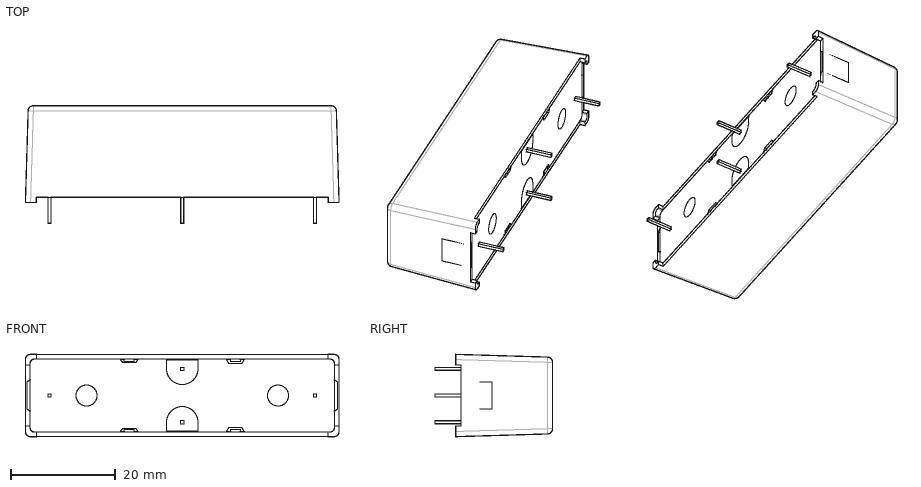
import cadquery as cq
import math


LENGTH = 60.0
WIDTH = 15.8
DEPTH = 17.5
DRAFT_ANGLE = 1.7
WALL = 0.9
EDGE_RADIUS = 1.0
CAVITY_RADIUS = 0.85
FOOT_HEIGHT = 1.0
FOOT_SPAN = 2.1

POCKET_DEPTH = 5.95
POCKET_SKIN = 0.33
POCKET_OUTER_WIDTH = 5.2
POCKET_INNER_WIDTH = 6.0

SNAP_X = 10.15
BUMP_WIDTH = 1.9
BUMP_HEIGHT = 0.5
BUMP_DEPTH = 0.25
NOTCH_INNER_WIDTH = 2.5
NOTCH_OUTER_WIDTH = 3.5
NOTCH_DEPTH = 1.5
LEFT_NOTCH_HEIGHT = 0.65
RIGHT_NOTCH_HEIGHT = 0.85

PIN_SIZE = 0.6
PIN_LENGTH = 5.0
END_PIN_X = 25.4
SIDE_PIN_Z = 5.1

INLAY_THICKNESS = 1.0
PAD_RADIUS = 3.0
PAD_OUTER_Z = 6.8
DISC_DIAMETER = 4.0
DISC_X = 18.3

PIN_PLACES = [(-END_PIN_X, 0), (END_PIN_X, 0), (0, -SIDE_PIN_Z), (0, SIDE_PIN_Z)]
SIDES = (-1, 1)

cavity_half_length = LENGTH / 2 - WALL
cavity_half_width = WIDTH / 2 - WALL
draft_slope = math.tan(math.radians(DRAFT_ANGLE))
rim_half_width = cavity_half_width - FOOT_HEIGHT * draft_slope


def plan_sketch(y):
    """Workplane at depth y, sketched in (x, z); negative extrusions run toward +Y."""
    return cq.Workplane("XZ", origin=(0, y, 0))


def drafted_block(inset, corner_radius):
    """Drafted block from the foot tips toward the back, inset from the outer skin all round."""
    return (
        cq.Workplane("ZX", origin=(0, -FOOT_HEIGHT, 0))
        .rect(WIDTH - 2 * inset, LENGTH - 2 * inset)
        .extrude(FOOT_HEIGHT + DEPTH - inset, taper=DRAFT_ANGLE)
        .edges("not(#Y)")
        .fillet(corner_radius)
    )


def make_cavity():
    return drafted_block(WALL, CAVITY_RADIUS)


def rim_gaps():
    """Space between the corner feet, down to the rim."""
    along_x = cq.Workplane().box(LENGTH - 2 * FOOT_SPAN, FOOT_HEIGHT, WIDTH)
    along_z = cq.Workplane().box(LENGTH, FOOT_HEIGHT, WIDTH - 2 * FOOT_SPAN)
    return along_x.union(along_z).translate((0, -FOOT_HEIGHT / 2, 0))


def end_pocket(side):
    """Pocket in one end wall, slightly wider at its inner face."""
    outer_x = side * (LENGTH / 2 - POCKET_SKIN)
    inner_x = side * (cavity_half_length - WALL)
    mouth_x = side * cavity_half_length
    return (
        plan_sketch(0)
        .moveTo(outer_x, -POCKET_OUTER_WIDTH / 2)
        .lineTo(mouth_x, -POCKET_INNER_WIDTH / 2)
        .lineTo(inner_x, -POCKET_INNER_WIDTH / 2)
        .lineTo(inner_x, POCKET_INNER_WIDTH / 2)
        .lineTo(mouth_x, POCKET_INNER_WIDTH / 2)
        .lineTo(outer_x, POCKET_OUTER_WIDTH / 2)
        .close()
        .extrude(-POCKET_DEPTH)
    )


def snap_bump(x, side):
    """Wedge on a long wall, sloping inward from the rim and rooted in the wall."""
    wall_z = side * rim_half_width
    root_z = side * (rim_half_width + WALL / 2)
    return (
        cq.Workplane("YZ", origin=(x, 0, 0))
        .polyline([
            (0, root_z),
            (0, wall_z),
            (BUMP_DEPTH, wall_z - side * BUMP_HEIGHT),
            (BUMP_DEPTH, root_z),
        ])
        .close()
        .extrude(BUMP_WIDTH / 2, both=True)
    )


def snap_notch(x, side, height):
    """Trapezoid notch in the edge of the filling, around a snap bump."""
    wall_z = side * rim_half_width
    floor_z = wall_z - side * height
    return (
        plan_sketch(0)
        .polyline([
            (x - NOTCH_OUTER_WIDTH / 2, wall_z),
            (x - NOTCH_INNER_WIDTH / 2, floor_z),
            (x + NOTCH_INNER_WIDTH / 2, floor_z),
            (x + NOTCH_OUTER_WIDTH / 2, wall_z),
        ])
        .close()
        .extrude(-NOTCH_DEPTH)
    )


def make_housing():
    shell = drafted_block(0, EDGE_RADIUS).faces(">Y").edges().fillet(EDGE_RADIUS)
    shell = shell.cut(make_cavity()).cut(rim_gaps())
    for side in SIDES:
        shell = shell.cut(end_pocket(side))
        for x in (-SNAP_X, SNAP_X):
            shell = shell.union(snap_bump(x, side))
    return shell


def make_pin(x, z):
    return (
        plan_sketch(INLAY_THICKNESS)
        .center(x, z)
        .rect(PIN_SIZE, PIN_SIZE)
        .extrude(INLAY_THICKNESS + PIN_LENGTH)
    )


def pad_blank(side):
    """D-shaped pad on one long side, before its pin hole is cut."""
    centre_z = side * SIDE_PIN_Z
    outer_z = side * PAD_OUTER_Z
    return (
        plan_sketch(0)
        .moveTo(-PAD_RADIUS, outer_z)
        .lineTo(-PAD_RADIUS, centre_z)
        .threePointArc((0, centre_z - side * PAD_RADIUS), (PAD_RADIUS, centre_z))
        .lineTo(PAD_RADIUS, outer_z)
        .close()
        .extrude(-INLAY_THICKNESS)
    )


def make_pad(side):
    return pad_blank(side).cut(make_pin(0, side * SIDE_PIN_Z))


def make_disc(x):
    return plan_sketch(0).center(x, 0).circle(DISC_DIAMETER / 2).extrude(-INLAY_THICKNESS)


def make_filling():
    """Filling of the cavity up to the rim, with seats for the pins, pads and discs."""
    beyond_rim = cq.Workplane().box(LENGTH, FOOT_HEIGHT, WIDTH).translate((0, -FOOT_HEIGHT / 2, 0))
    filling = make_cavity().cut(beyond_rim)
    for side in SIDES:
        filling = filling.cut(snap_notch(-SNAP_X, side, LEFT_NOTCH_HEIGHT))
        filling = filling.cut(snap_notch(SNAP_X, side, RIGHT_NOTCH_HEIGHT))
        filling = filling.cut(pad_blank(side)).cut(make_disc(side * DISC_X))
    for x, z in PIN_PLACES:
        filling = filling.cut(make_pin(x, z))
    return filling


housing = make_housing()
filling = make_filling()
pins = [make_pin(x, z) for x, z in PIN_PLACES]
pads = [make_pad(side) for side in SIDES]
discs = [make_disc(side * DISC_X) for side in SIDES]

result = cq.Compound.makeCompound(
    [body.val() for body in [housing, filling, *pins, *pads, *discs]]
)